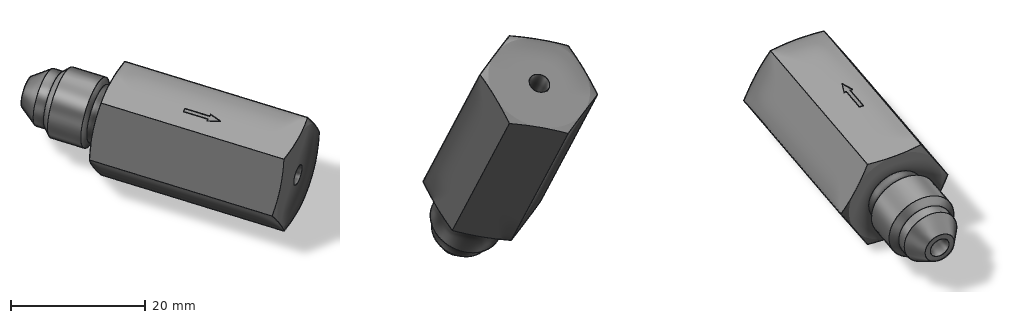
import cadquery as cq
import math

total_length = 43.7
across_flats = 15.85
across_corners = across_flats / math.cos(math.radians(30))

nose_cone_end = 2.8
thread_start = 4.45
thread_full_start = 5.55
thread_full_end = 10.92
neck_start = 11.5
hex_start = 13.45

nose_tip_diameter = 5.0
nose_diameter = 9.0
thread_diameter = 11.1
neck_diameter = 9.17
bore_diameter = 3.2

hex_chamfer_length = 0.35

arrow_tail_x = 25.78
arrow_head_x = 29.75
arrow_tip_x = 31.65
arrow_y = -1.1
arrow_shaft_width = 0.65
arrow_head_width = 1.45
arrow_depth = 0.1


def revolve_about_x(profile):
    """Revolve an outline of (x, radius) points about the X axis."""
    return cq.Workplane("XY").polyline(profile).close().revolve(360, (0, 0, 0), (1, 0, 0))


def make_turned_end():
    return revolve_about_x([
        (0, 0),
        (0, nose_tip_diameter / 2),
        (nose_cone_end, nose_diameter / 2),
        (thread_start, nose_diameter / 2),
        (thread_full_start, thread_diameter / 2),
        (thread_full_end, thread_diameter / 2),
        (neck_start, neck_diameter / 2),
        (hex_start, neck_diameter / 2),
        (hex_start, 0),
    ])


def make_hex_body():
    prism = (
        cq.Workplane("YZ", origin=(hex_start, 0, 0))
        .polygon(6, across_corners)
        .extrude(total_length - hex_start)
    )
    envelope = revolve_about_x([
        (hex_start, 0),
        (hex_start, across_flats / 2),
        (hex_start + hex_chamfer_length, across_corners / 2),
        (total_length - hex_chamfer_length, across_corners / 2),
        (total_length, across_flats / 2),
        (total_length, 0),
    ])
    return prism.intersect(envelope)


def make_bore():
    return cq.Workplane("YZ").circle(bore_diameter / 2).extrude(total_length)


def make_arrow():
    half_shaft = arrow_shaft_width / 2
    half_head = arrow_head_width / 2
    return (
        cq.Workplane("XY", origin=(0, arrow_y, across_flats / 2 - arrow_depth))
        .polyline([
            (arrow_tail_x, -half_shaft),
            (arrow_head_x, -half_shaft),
            (arrow_head_x, -half_head),
            (arrow_tip_x, 0),
            (arrow_head_x, half_head),
            (arrow_head_x, half_shaft),
            (arrow_tail_x, half_shaft),
        ])
        .close()
        .extrude(arrow_depth)
    )


result = make_turned_end().union(make_hex_body()).cut(make_bore()).cut(make_arrow())